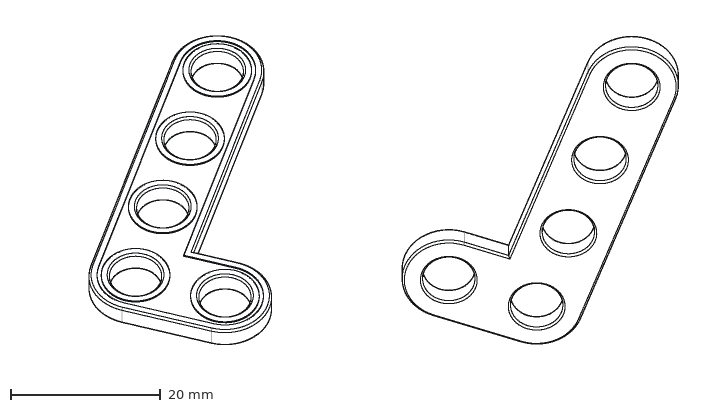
import cadquery as cq

pitch = 12.5
long_arm_holes = 4
short_arm_holes = 2
thickness = 3.1
hole_diameter = 7.0
collar_diameter = 9.2
rim_width = 1.1
recess_depth = 0.2
chamfer_size = 0.3

long_arm_length = (long_arm_holes - 1) * pitch
short_arm_length = (short_arm_holes - 1) * pitch
hole_centres = [(0, i * pitch) for i in range(long_arm_holes)]
hole_centres += [(i * pitch, 0) for i in range(1, short_arm_holes)]


def l_shape(half_width, height):
    """L-shaped slab on Z = 0 with round arm ends and a round outer corner."""
    width = 2 * half_width
    long_arm = (
        cq.Workplane("XY")
        .center(0, long_arm_length / 2)
        .slot2D(long_arm_length + width, width, 90)
        .extrude(height)
    )
    short_arm = (
        cq.Workplane("XY")
        .center(short_arm_length / 2, 0)
        .slot2D(short_arm_length + width, width)
        .extrude(height)
    )
    return long_arm.union(short_arm).clean()


def discs(diameter, height):
    """One disc on Z = 0 at every hole centre."""
    return cq.Workplane("XY").pushPoints(hole_centres).circle(diameter / 2).extrude(height)


body = l_shape(pitch / 2, thickness).cut(discs(hole_diameter, thickness))
body = body.faces("<Z or >Z").edges().chamfer(chamfer_size)

recess = l_shape(pitch / 2 - rim_width, recess_depth).cut(discs(collar_diameter, recess_depth))
result = body.cut(recess.translate((0, 0, thickness - recess_depth)))